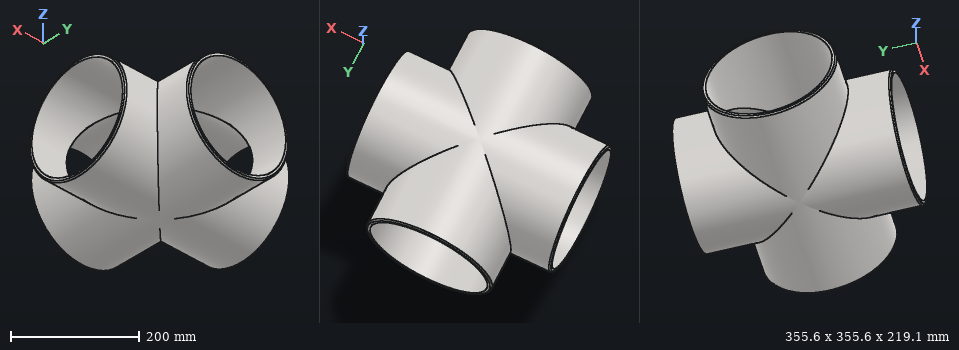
import cadquery as cq

outer_diameter = 219.075
wall_thickness = 7.04
overall_length = 355.6
bevel_depth = 2.5
bevel_length = 2.5

outer_radius = outer_diameter / 2
bore_radius = outer_radius - wall_thickness
half_length = overall_length / 2


def run_along_x(profile):
    """Revolve an (axial, radial) profile about the X axis."""
    return cq.Workplane("XZ").polyline(profile).close().revolve(360, (0, 0, 0), (1, 0, 0))


def turn_to_y(run):
    """Turn a run lying along X so that it lies along Y."""
    return run.rotate((0, 0, 0), (0, 0, 1), 90)


def outer_run():
    """Solid cylinder along X with a bevel around both ends."""
    bevel_start = half_length - bevel_length
    end_radius = outer_radius - bevel_depth
    return run_along_x([
        (-half_length, 0),
        (-half_length, end_radius),
        (-bevel_start, outer_radius),
        (bevel_start, outer_radius),
        (half_length, end_radius),
        (half_length, 0),
    ])


def bore_run():
    """Straight bore along X, open at both ends."""
    return run_along_x([
        (-half_length, 0),
        (-half_length, bore_radius),
        (half_length, bore_radius),
        (half_length, 0),
    ])


body = outer_run().union(turn_to_y(outer_run()))
bores = bore_run().union(turn_to_y(bore_run()))
result = body.cut(bores)